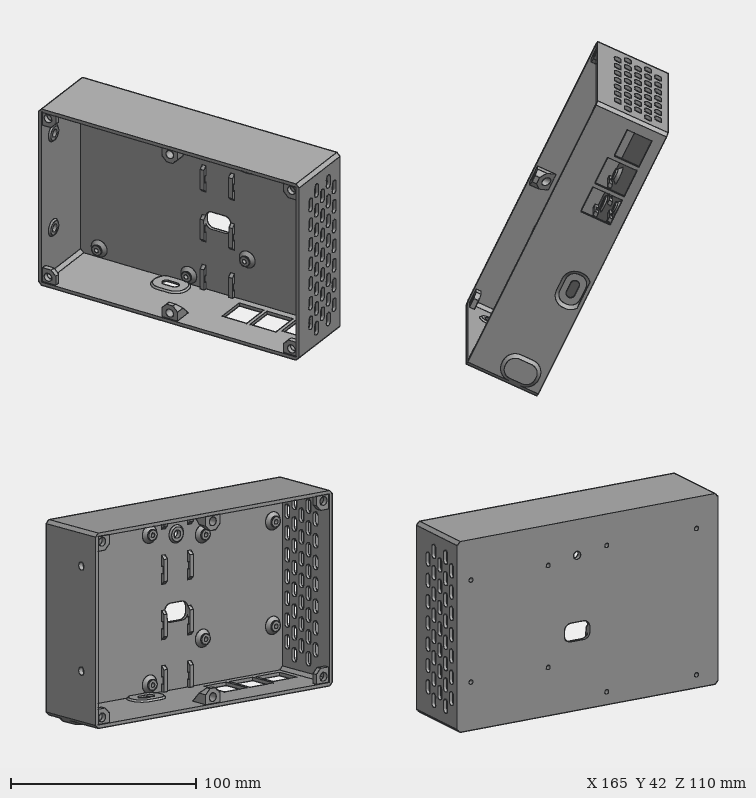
import cadquery as cq

LENGTH = 165.0
DEPTH = 42.0
HEIGHT = 108.0
WALL = 2.0
CORNER = 2.0
RECESS = 1.0
BACK = DEPTH - WALL
MID_X = LENGTH / 2
MID_Z = HEIGHT / 2

BOSS_HOLE = 4.8
BOSS_INSET = 5.5
BOSS_RADIUS = 5.0
BOSS_CHAMFER = 3.0
CORNER_BOSS_DEPTH = 3.0
MIDDLE_BOSS_TIP = 2.6

POST_HOLE = 2.5
POST_TOP = 6.0
POST_BASE = 10.0
POST_HEIGHT = 3.0
POST_CONE = 2.0
LEFT_BOARD = ((13.7, 70.5), (7.5, 90.3))
RIGHT_BOARD = ((107.4, 156.3), (27.4, 85.1))

PAD_HEIGHT = 1.0
PAD_BASE = 10.0
PAD_HOLE = 4.5
SIDE_PAD_Y = 12.0
SIDE_PAD_Z = (29.9, 88.0)

CABLE_X = 89.1
MOUNT_Z = 87.8
OPENING_Z = 44.7
OPENING_WIDTH = 16.0
OPENING_HEIGHT = 10.5
OPENING_RADIUS = 4.0
RAIL_SPACING = 18.0
RAIL_WIDTH = 2.5
RAIL_LENGTH = 16.2
RAIL_HEIGHT = 2.0
RAIL_PITCH = 30.5
RAIL_COUNT = 4
TIE_WIDTH = 4.0
TIE_DEPTH = 1.0

PLATE_LENGTH = 22.0
PLATE_WIDTH = 16.0
PLATE_CORNER = 7.5
BEVEL_ANGLE = 45

FLOOR_PAD_X = 62.9
FLOOR_PAD_Y = 33.7
FLOOR_SLOT_LENGTH = 10.2
FLOOR_SLOT_WIDTH = 5.0

FOOT_X = CORNER + PLATE_WIDTH / 2
FOOT_Y = 27.7
FOOT_HEIGHT = 2.0

WINDOW_BACK_Y = 36.0
WINDOWS = ((105.0, 120.5, 18.5), (122.6, 139.0, 18.5), (141.0, 157.5, 21.3))

VENT_WIDTH = 4.0
VENT_LENGTH = 8.0
VENT_FIRST_Y = 12.0
VENT_PITCH_Z = 12.0
VENT_PITCH_Y = VENT_PITCH_Z / 2
VENT_ROWS = (7, 8, 7, 8, 7)


def box(x0, x1, y0, y1, z0, z1):
    return cq.Workplane("XY").box(x1 - x0, y1 - y0, z1 - z0, centered=False).translate((x0, y0, z0))


def rod(diameter, length):
    """Round bar along +Z, standing on the origin."""
    return cq.Workplane("XY").circle(diameter / 2).extrude(length)


def cone(base, top, height):
    """Cone frustum along +Z, standing on the origin."""
    return cq.Workplane(cq.Solid.makeCone(base / 2, top / 2, height))


def face_front(part, x, z):
    """Turn a part built along +Z to stand on the back wall, pointing at the open front."""
    return part.rotate((0, 0, 0), (1, 0, 0), 90).translate((x, BACK, z))


def face_right(part, y, z):
    """Turn a part built along +Z to stand on the left wall, pointing at +X."""
    return part.rotate((0, 0, 0), (0, 1, 0), 90).translate((WALL, y, z))


def flip_up(part):
    return part.mirror("XY", (0, 0, MID_Z))


def make_shell():
    outer = box(0, LENGTH, 0, DEPTH, 0, HEIGHT).edges("|Y").chamfer(CORNER)
    cavity = box(WALL, LENGTH - WALL, 0, BACK, WALL, HEIGHT - WALL).edges("|Y").chamfer(CORNER)
    seat = box(WALL, LENGTH - WALL, 0, RECESS, WALL, HEIGHT - WALL)
    return outer.cut(cavity).cut(seat)


def boss_hole(x, depth):
    hole = rod(BOSS_HOLE, depth).rotate((0, 0, 0), (1, 0, 0), -90)
    return hole.translate((x, RECESS, BOSS_INSET))


def make_corner_boss():
    """Boss in the lower left corner; its outer corner follows the case chamfer."""
    size = BOSS_INSET + BOSS_RADIUS
    half_wall = WALL / 2
    block = box(half_wall, size, RECESS, RECESS + CORNER_BOSS_DEPTH, half_wall, size)
    block = block.edges("|Y and >X and >Z").chamfer(BOSS_CHAMFER)
    block = block.edges("|Y and <X and <Z").chamfer(CORNER)
    return block.cut(boss_hole(BOSS_INSET, CORNER_BOSS_DEPTH))


def make_middle_boss():
    """Boss on the floor at mid length; its back slopes at 45 degrees down to the floor."""
    top = BOSS_INSET + BOSS_RADIUS
    half_wall = WALL / 2
    rise = top - WALL
    depth = MIDDLE_BOSS_TIP + rise
    back = RECESS + depth
    block = box(MID_X - BOSS_RADIUS, MID_X + BOSS_RADIUS, RECESS, back, half_wall, top)
    block = block.edges("|Y and >Z").chamfer(BOSS_CHAMFER)
    slope = (
        cq.Workplane("YZ")
        .polyline([(back, WALL), (back, top), (back - rise, top)])
        .close()
        .extrude(LENGTH)
    )
    return block.cut(slope).cut(boss_hole(MID_X, depth))


def make_post():
    """Board post with a conical foot."""
    return rod(POST_TOP, POST_HEIGHT).union(cone(POST_BASE, POST_TOP, POST_CONE))


def make_round_pad():
    return cone(PAD_BASE, PAD_BASE - 2 * PAD_HEIGHT, PAD_HEIGHT)


def wall_hole(diameter):
    """Hole through the wall and through whatever stands on it."""
    return rod(diameter, WALL + POST_HEIGHT).translate((0, 0, -WALL))


def make_rail():
    """Rail along Z on the back wall, with 45 degree ends and a cable tie gap underneath."""
    half = RAIL_LENGTH / 2
    profile = [(BACK, -half), (BACK, half), (BACK - RAIL_HEIGHT, half - RAIL_HEIGHT),
               (BACK - RAIL_HEIGHT, RAIL_HEIGHT - half)]
    rail = cq.Workplane("YZ").polyline(profile).close().extrude(RAIL_WIDTH / 2, both=True)
    gap = box(-RAIL_WIDTH, RAIL_WIDTH, BACK - TIE_DEPTH, BACK, -TIE_WIDTH / 2, TIE_WIDTH / 2)
    return rail.cut(gap)


def make_rails():
    inside = box(WALL, LENGTH - WALL, 0, DEPTH, WALL, HEIGHT - WALL)
    rails = cq.Workplane("XY")
    for side in (-1, 1):
        for row in range(RAIL_COUNT):
            z = MID_Z + (row - (RAIL_COUNT - 1) / 2) * RAIL_PITCH
            rails = rails.add(make_rail().translate((CABLE_X + side * RAIL_SPACING / 2, 0, z)))
    return rails.combine().intersect(inside)


def make_cable_opening():
    opening = box(-OPENING_WIDTH / 2, OPENING_WIDTH / 2, BACK - RAIL_HEIGHT, DEPTH,
                  -OPENING_HEIGHT / 2, OPENING_HEIGHT / 2)
    return opening.edges("|Y").fillet(OPENING_RADIUS).translate((CABLE_X, 0, OPENING_Z))


def make_plate(length, width, corner, height):
    """Rounded plate with 45 degree sides, narrowing from the XY plane up to its height."""
    outline = cq.Sketch().rect(length, width).vertices().fillet(corner)
    return cq.Workplane("XY").placeSketch(outline).extrude(height, taper=BEVEL_ANGLE)


def make_floor_pad():
    """Pad on the floor, cut off by the back wall."""
    pad = make_plate(PLATE_LENGTH, PLATE_WIDTH, PLATE_CORNER, PAD_HEIGHT)
    pad = pad.translate((FLOOR_PAD_X, FLOOR_PAD_Y, WALL))
    return pad.intersect(box(0, LENGTH, 0, BACK, 0, HEIGHT))


def make_floor_pocket():
    """Hollow under the floor pad that leaves a web as thick as the pad is high."""
    pocket = make_plate(PLATE_LENGTH, PLATE_WIDTH, PLATE_CORNER, WALL)
    pocket = pocket.translate((FLOOR_PAD_X, FLOOR_PAD_Y, 0))
    return pocket.intersect(box(0, LENGTH, 0, BACK, 0, HEIGHT))


def make_floor_slot():
    slot = cq.Workplane("XY").slot2D(FLOOR_SLOT_LENGTH, FLOOR_SLOT_WIDTH).extrude(WALL + PAD_HEIGHT)
    return slot.translate((FLOOR_PAD_X, FLOOR_PAD_Y, 0))


def make_foot():
    """Foot under the floor, narrowing downward."""
    foot = make_plate(PLATE_WIDTH, PLATE_LENGTH, PLATE_CORNER, FOOT_HEIGHT)
    return foot.mirror("XY").translate((FOOT_X, FOOT_Y, 0))


def make_vents():
    slot = (
        cq.Workplane("YZ", origin=(LENGTH - WALL, 0, 0))
        .slot2D(VENT_LENGTH, VENT_WIDTH, 90)
        .extrude(WALL)
    )
    vents = cq.Workplane("XY")
    for column, rows in enumerate(VENT_ROWS):
        y = VENT_FIRST_Y + column * VENT_PITCH_Y
        for row in range(rows):
            z = MID_Z + (row - (rows - 1) / 2) * VENT_PITCH_Z
            vents = vents.add(slot.translate((0, y, z)))
    return vents.combine()


corner_boss = make_corner_boss()
middle_boss = make_middle_boss()
right_boss = corner_boss.mirror("YZ", (MID_X, 0, 0))
result = make_shell()
for boss in (corner_boss, middle_boss, right_boss):
    result = result.union(boss).union(flip_up(boss))

post_places = [(x, z) for xs, zs in (LEFT_BOARD, RIGHT_BOARD) for x in xs for z in zs]
for x, z in post_places:
    result = result.union(face_front(make_post(), x, z))
result = result.union(face_front(make_round_pad(), CABLE_X, MOUNT_Z))
for z in SIDE_PAD_Z:
    result = result.union(face_right(make_round_pad(), SIDE_PAD_Y, z))
result = result.union(make_rails()).union(make_floor_pad()).union(make_foot())

for x, z in post_places:
    result = result.cut(face_front(wall_hole(POST_HOLE), x, z))
result = result.cut(face_front(wall_hole(PAD_HOLE), CABLE_X, MOUNT_Z))
for z in SIDE_PAD_Z:
    result = result.cut(face_right(wall_hole(PAD_HOLE), SIDE_PAD_Y, z))
for x_start, x_end, y_start in WINDOWS:
    result = result.cut(box(x_start, x_end, y_start, WINDOW_BACK_Y, 0, WALL))
result = result.cut(make_cable_opening()).cut(make_vents())
result = result.cut(make_floor_pocket()).cut(make_floor_slot())